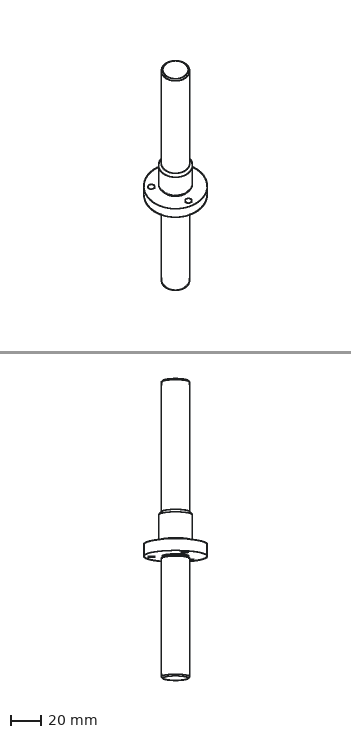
import cadquery as cq

length = 200.0
shaft_radius = 9.5
flange_radius = 21.0
flange_bottom = 82.0
flange_thickness = 8.0
flange_top = flange_bottom + flange_thickness

taper_length = 4.0
taper_depth = 0.15
end_chamfer = 1.0
taper_radius = shaft_radius - taper_depth
end_radius = taper_radius - end_chamfer

collar_radius = 11.2
collar_bottom = 91.2
collar_top = 111.8
lower_cone_height = 1.2
upper_cone_height = 2.0

groove_radius = 8.9
groove_width = 1.0
groove_flare = 0.5
groove_bottom = flange_bottom - groove_width

hole_count = 3
hole_diameter = 4.5
hole_circle_radius = 16.0


def turned_body():
    """Revolve the half section (radius, height) about the Z axis."""
    section = [
        (0, 0),
        (end_radius, 0),
        (taper_radius, end_chamfer),
        (shaft_radius, taper_length),
        (shaft_radius, groove_bottom - groove_flare),
        (groove_radius, groove_bottom),
        (groove_radius, flange_bottom),
        (flange_radius, flange_bottom),
        (flange_radius, flange_top),
        (shaft_radius, flange_top),
        (shaft_radius, collar_bottom),
        (collar_radius, collar_bottom + lower_cone_height),
        (collar_radius, collar_top - upper_cone_height),
        (shaft_radius, collar_top),
        (shaft_radius, length - taper_length),
        (taper_radius, length - end_chamfer),
        (end_radius, length),
        (0, length),
    ]
    return cq.Workplane("XZ").polyline(section).close().revolve(360, (0, 0, 0), (0, 1, 0))


def mounting_holes():
    """Equally spaced drills, the first one on the +X axis."""
    return (
        cq.Workplane("XY")
        .workplane(offset=flange_bottom)
        .polarArray(hole_circle_radius, 0, 360, hole_count)
        .circle(hole_diameter / 2)
        .extrude(flange_thickness)
    )


result = turned_body().cut(mounting_holes())